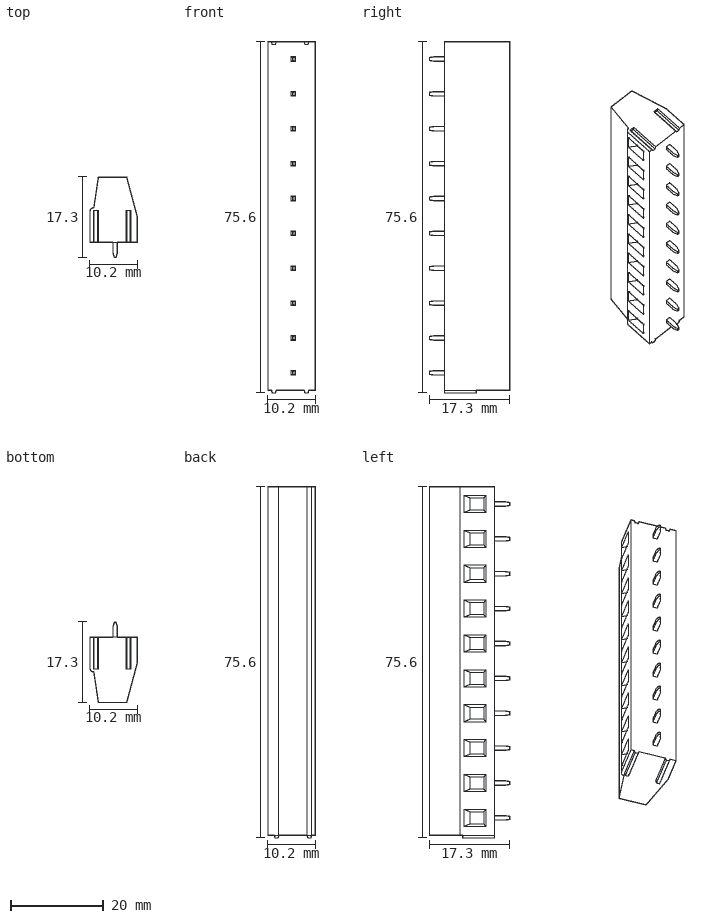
import cadquery as cq

pole_count = 10
total_length = 75.6
body_length = 75.0
pitch = body_length / pole_count
body_width = 10.2
body_depth = 14.05

top_left_x = 1.8
top_right_x = 7.95
shoulder_height = 7.5
shoulder_radius = 0.8
right_bend_height = 5.6

joint_height = total_length - body_length
joint_length = 6.9
joint_base_width = 1.05
joint_tip_width = 0.7
joint_centers_x = (1.3, 8.3)

entry_bottom = 1.9
entry_top = shoulder_height - shoulder_radius
entry_height = 3.7
floor_bottom = 2.35
floor_top = 5.3
floor_height = 2.6
entry_depth = 1.35

pin_x = 5.45
pin_size = 1.0
pin_length = 3.25
pin_taper_length = 1.0
pin_tip_width = 0.4
pin_tip_height = 0.7

pole_heights = [(index + 0.5) * pitch for index in range(pole_count)]


def make_housing():
    """Extruded housing with a rounded shoulder over the wire entries."""
    shoulder_start = (0, shoulder_height - shoulder_radius)
    shoulder_end = (shoulder_radius, shoulder_height)
    arc_inset = shoulder_radius * (1 - 0.5 ** 0.5)
    shoulder_middle = (arc_inset, shoulder_height - arc_inset)
    return (
        cq.Workplane("XY")
        .lineTo(*shoulder_start)
        .threePointArc(shoulder_middle, shoulder_end)
        .lineTo(top_left_x, body_depth)
        .lineTo(top_right_x, body_depth)
        .lineTo(body_width, right_bend_height)
        .lineTo(body_width, 0)
        .close()
        .extrude(body_length)
    )


def make_joint_bar(center_x, base_z):
    """Bar along Y that narrows downward from its base."""
    tip_z = base_z - joint_height
    return (
        cq.Workplane("XZ")
        .moveTo(center_x - joint_base_width / 2, base_z)
        .lineTo(center_x + joint_base_width / 2, base_z)
        .lineTo(center_x + joint_tip_width / 2, tip_z)
        .lineTo(center_x - joint_tip_width / 2, tip_z)
        .close()
        .extrude(-joint_length)
    )


def make_entry(center_z):
    """Tapered rectangular funnel cut into the -X face."""
    mouth_center = cq.Vector(0, (entry_bottom + entry_top) / 2, center_z)
    floor_shift = (floor_bottom + floor_top) / 2 - mouth_center.y
    return (
        cq.Workplane(cq.Plane(mouth_center, xDir=(0, 1, 0), normal=(1, 0, 0)))
        .rect(entry_top - entry_bottom, entry_height)
        .workplane(offset=entry_depth)
        .center(floor_shift, 0)
        .rect(floor_top - floor_bottom, floor_height)
        .loft(ruled=True)
    )


def make_pin(center_z):
    """Square pin below the -Y face, narrowed at its free end, more so along X."""
    shank_length = pin_length - pin_taper_length
    shank = (
        cq.Workplane("XZ", origin=(pin_x, 0, center_z))
        .rect(pin_size, pin_size)
        .extrude(shank_length)
    )
    tip = (
        cq.Workplane("XZ", origin=(pin_x, -shank_length, center_z))
        .rect(pin_size, pin_size)
        .workplane(offset=pin_taper_length)
        .rect(pin_tip_width, pin_tip_height)
        .loft(ruled=True)
    )
    return shank.union(tip)


result = make_housing()
for joint_x in joint_centers_x:
    result = result.union(make_joint_bar(joint_x, 0))
    result = result.cut(make_joint_bar(joint_x, body_length))
for pole_z in pole_heights:
    result = result.cut(make_entry(pole_z))
    result = result.union(make_pin(pole_z))